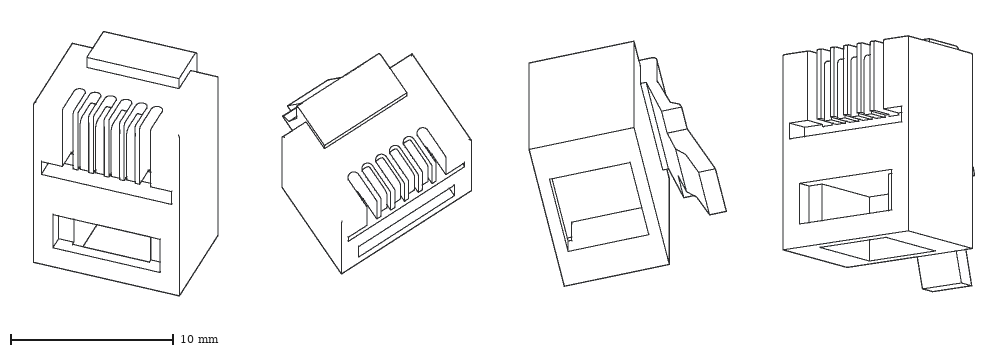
import cadquery as cq


BODY_WIDTH = 9.63
BODY_DEPTH = 6.65
BODY_HEIGHT = 12.32
TOP_EDGE_RADIUS = 0.15

LATCH_WIDTH = 6.09
TAB_WIDTH = 3.0
HEAD_RISE = 0.77
HEAD_HEIGHT = 3.32
HEAD_FRONT_Y = 4.56
HEAD_BACK_Y = 7.67
HEAD_RADIUS = 0.4
ARM_INNER_Y = 7.0
SHOULDER_Z = 5.25
KNEE_Y = 8.5
KNEE_Z = 2.77
TAB_BEND_Y = 9.15
TAB_BEND_Z = 1.69
TAB_TIP_INNER_Y = 9.96
TAB_TIP_OUTER_Y = 11.03
TAB_TIP_Z = -1.2
CATCH_OUTER_Y = 9.12
CATCH_OUTER_Z = 5.73
CATCH_ROOT_Y = 8.53
CATCH_ROOT_Z = 6.27

CHANNEL_COUNT = 6
CHANNEL_SPAN = 5.1
CHANNEL_WIDTH = 0.71
CHANNEL_DEPTH = 2.39
CHANNEL_FLOOR_Z = 7.79
CONTACT_WIDTH = 0.57
CONTACT_OFFSET_X = -0.03
CONTACT_FRONT_Y = 0.29
CONTACT_TOP_Z = 11.62
CONTACT_RADIUS = 0.4

CROSS_SLOT_WIDTH = 8.6
CROSS_SLOT_DEPTH = 1.56
CROSS_SLOT_BOTTOM_Z = 6.93
CROSS_SLOT_TOP_Z = 7.92

WINDOW_WIDTH = 7.07
WINDOW_DEPTH = 1.0
WINDOW_BOTTOM_Z = 1.47
WINDOW_TOP_Z = 4.03
CAVITY_WIDTH = 5.07
CAVITY_WALL = 0.77

HEAD_TOP_Z = BODY_HEIGHT + HEAD_RISE
HEAD_BOTTOM_Z = HEAD_TOP_Z - HEAD_HEIGHT


def centred_block(width, front_y, back_y, bottom_z, top_z):
    """Block centred on X between the given Y and Z limits."""
    size = (width, back_y - front_y, top_z - bottom_z)
    return cq.Workplane("XY").box(*size, centered=(True, False, False)).translate((0, front_y, bottom_z))


def side_profile(points, width):
    """Closed (Y, Z) outline extruded symmetrically along X."""
    return cq.Workplane("YZ").polyline(points).close().extrude(width / 2, both=True)


def make_housing():
    body = centred_block(BODY_WIDTH, 0, BODY_DEPTH, 0, BODY_HEIGHT)
    return body.faces(">Z").edges().fillet(TOP_EDGE_RADIUS)


def make_latch():
    head = centred_block(LATCH_WIDTH, HEAD_FRONT_Y, HEAD_BACK_Y, HEAD_BOTTOM_Z, HEAD_TOP_Z)
    head = head.edges(">Y and >Z").fillet(HEAD_RADIUS)

    inner_slope = (KNEE_Y - ARM_INNER_Y) / (HEAD_BOTTOM_Z - KNEE_Z)
    shoulder_inner_y = ARM_INNER_Y + inner_slope * (HEAD_BOTTOM_Z - SHOULDER_Z)

    outer_slope = (TAB_TIP_OUTER_Y - CATCH_OUTER_Y) / (CATCH_OUTER_Z - TAB_TIP_Z)
    shoulder_outer_y = CATCH_OUTER_Y + outer_slope * (CATCH_OUTER_Z - SHOULDER_Z)

    arm = side_profile(
        [
            (ARM_INNER_Y, HEAD_BOTTOM_Z),
            (shoulder_inner_y, SHOULDER_Z),
            (shoulder_outer_y, SHOULDER_Z),
            (CATCH_OUTER_Y, CATCH_OUTER_Z),
            (CATCH_ROOT_Y, CATCH_ROOT_Z),
            (HEAD_BACK_Y, HEAD_BOTTOM_Z),
        ],
        LATCH_WIDTH,
    )
    tab = side_profile(
        [
            (shoulder_inner_y, SHOULDER_Z),
            (KNEE_Y, KNEE_Z),
            (TAB_BEND_Y, TAB_BEND_Z),
            (TAB_TIP_INNER_Y, TAB_TIP_Z),
            (TAB_TIP_OUTER_Y, TAB_TIP_Z),
            (shoulder_outer_y, SHOULDER_Z),
        ],
        TAB_WIDTH,
    )
    return head.union(arm).union(tab)


def make_channel(x):
    """Open-fronted channel with a half-round back, cut down from the mating end."""
    radius = CHANNEL_WIDTH / 2
    straight = CHANNEL_DEPTH - radius
    return (
        cq.Workplane("XY", origin=(x, 0, CHANNEL_FLOOR_Z))
        .moveTo(-radius, 0)
        .lineTo(radius, 0)
        .lineTo(radius, straight)
        .threePointArc((0, CHANNEL_DEPTH), (-radius, straight))
        .close()
        .extrude(BODY_HEIGHT - CHANNEL_FLOOR_Z)
    )


def make_contact(x):
    """Contact blade with both upper ends rounded."""
    blade = centred_block(CONTACT_WIDTH, CONTACT_FRONT_Y, CHANNEL_DEPTH, CHANNEL_FLOOR_Z, CONTACT_TOP_Z)
    return blade.faces(">Z").edges("|X").fillet(CONTACT_RADIUS).translate((x + CONTACT_OFFSET_X, 0, 0))


channel_pitch = CHANNEL_SPAN / (CHANNEL_COUNT - 1)
channel_xs = [i * channel_pitch - CHANNEL_SPAN / 2 for i in range(CHANNEL_COUNT)]

result = make_housing().union(make_latch())

for channel_x in channel_xs:
    result = result.cut(make_channel(channel_x))

result = result.cut(
    centred_block(CROSS_SLOT_WIDTH, 0, CROSS_SLOT_DEPTH, CROSS_SLOT_BOTTOM_Z, CROSS_SLOT_TOP_Z)
)
result = result.cut(centred_block(WINDOW_WIDTH, 0, WINDOW_DEPTH, WINDOW_BOTTOM_Z, WINDOW_TOP_Z))

result = result.cut(centred_block(CAVITY_WIDTH, CAVITY_WALL, BODY_DEPTH - CAVITY_WALL, 0, WINDOW_TOP_Z))

for contact_x in channel_xs[1:-1]:
    result = result.union(make_contact(contact_x))